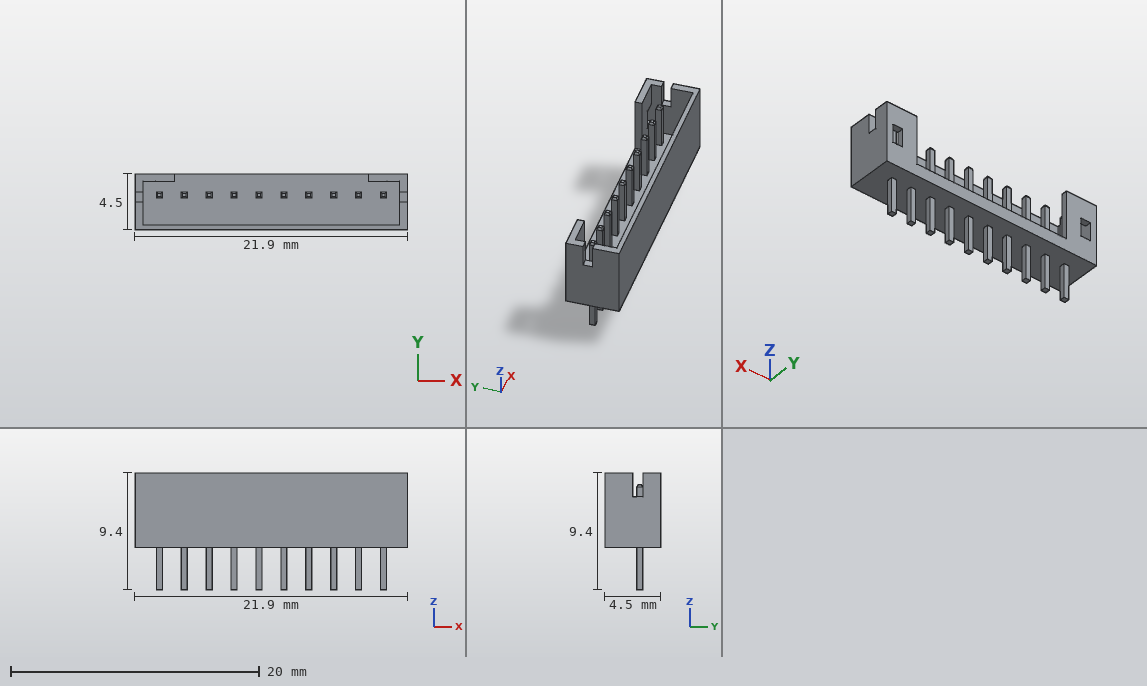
import cadquery as cq


pin_count = 10
pin_pitch = 2.0
pin_size = 0.5
pin_top = 5.05
pin_tail = 3.4
tip_height = 0.2
tip_size = 0.27

housing_length = 21.9
housing_width = 4.5
housing_height = 6.0
pin_to_back = 1.7
end_wall = 0.65
back_wall = 0.6
front_wall = 0.4
floor_thickness = 1.2

back_tab_length = 3.15
slot_width = 0.8
slot_depth = 1.9
window_width = 1.0
window_bottom = 2.2
window_top = 4.0

back_y = pin_to_back
front_y = back_y - housing_width
end_x = housing_length / 2
cavity_end_x = end_x - end_wall
cavity_back_y = back_y - back_wall
cavity_front_y = front_y + front_wall
back_opening_end_x = end_x - back_tab_length
slot_back_y = pin_size / 2
slot_bottom = housing_height - slot_depth


def block(x_range, y_range, z_range):
    """Axis-aligned box between pairs of limits."""
    x0, x1 = x_range
    y0, y1 = y_range
    z0, z1 = z_range
    return cq.Workplane("XY").box(x1 - x0, y1 - y0, z1 - z0, centered=False).translate((x0, y0, z0))


def make_housing():
    """Shroud open at the top and along most of its back, with a slot in each end wall."""
    above_floor = (floor_thickness, housing_height)
    housing = block((-end_x, end_x), (front_y, back_y), (0, housing_height))
    cavity = block((-cavity_end_x, cavity_end_x), (cavity_front_y, cavity_back_y), above_floor)
    back_opening = block((-back_opening_end_x, back_opening_end_x), (cavity_back_y, back_y), above_floor)
    end_slots = block((-end_x, end_x), (slot_back_y - slot_width, slot_back_y), (slot_bottom, housing_height))
    return housing.cut(cavity).cut(back_opening).cut(end_slots)


def make_windows():
    """Small windows through the back wall tabs, against the end walls."""
    window = block(
        (cavity_end_x - window_width, cavity_end_x),
        (cavity_back_y, back_y),
        (window_bottom, window_top),
    )
    return window.union(window.mirror("YZ"))


def make_pin(x):
    """Square pin with a tapered top."""
    shaft_top = pin_top - tip_height
    shaft = cq.Workplane("XY", origin=(x, 0, -pin_tail)).rect(pin_size, pin_size).extrude(pin_tail + shaft_top)
    tip = (
        cq.Workplane("XY", origin=(x, 0, shaft_top))
        .rect(pin_size, pin_size)
        .workplane(offset=tip_height)
        .rect(tip_size, tip_size)
        .loft(ruled=True)
    )
    return shaft.union(tip)


def make_pin_x_positions():
    """Pin positions along X, spread evenly about the middle."""
    first_x = -(pin_count - 1) * pin_pitch / 2
    return [first_x + index * pin_pitch for index in range(pin_count)]


result = make_housing().cut(make_windows())
for pin_x in make_pin_x_positions():
    result = result.union(make_pin(pin_x))